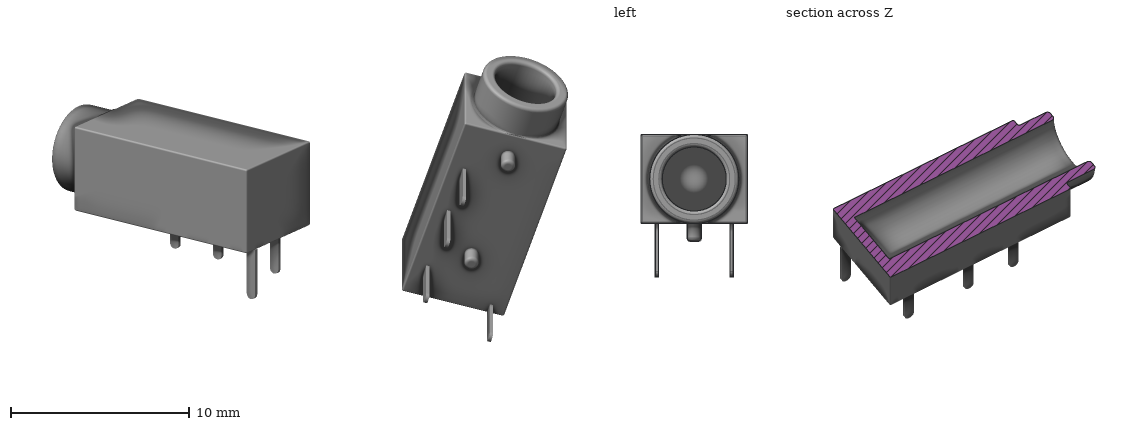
import cadquery as cq

total_length = 14.1
case_width = 6.0
case_height = 5.0
barrel_length = 2.0
barrel_diameter = case_height
bore_diameter = 3.6
wall = (barrel_diameter - bore_diameter) / 2
bore_depth = total_length - wall
edge_radius = 0.1
rim_radius = 0.2

peg_diameter = 0.8
peg_length = 1.0
peg_tip_radius = 0.2
peg_positions = (3.5, 10.5)

pin_width = 0.59
pin_thickness = 0.2
pin_length = 2.99
row_offset = 2.1
pin_places = (
    (5.3, row_offset),
    (8.3, row_offset),
    (12.3, row_offset),
    (total_length - pin_width / 2, -row_offset),
)

case_bottom = -case_height / 2


def make_case():
    """Case with all its edges rounded."""
    case_length = total_length - barrel_length
    case = cq.Workplane("XY").box(case_length, case_width, case_height)
    case = case.edges().fillet(edge_radius)
    return case.translate((barrel_length + case_length / 2, 0, 0))


def make_barrel():
    """Barrel along X with a rounded rim and a concave flare where it meets the case."""
    barrel_radius = barrel_diameter / 2
    flare_radius = barrel_radius + edge_radius
    flare_start = barrel_length - edge_radius
    diagonal = edge_radius * 0.5 ** 0.5
    rim_diagonal = rim_radius * (1 - 0.5 ** 0.5)
    profile = (
        cq.Workplane("XY")
        .lineTo(0, barrel_radius - rim_radius)
        .threePointArc((rim_diagonal, barrel_radius - rim_diagonal), (rim_radius, barrel_radius))
        .lineTo(flare_start, barrel_radius)
        .threePointArc(
            (flare_start + diagonal, flare_radius - diagonal),
            (barrel_length, flare_radius),
        )
        .lineTo(barrel_length, 0)
        .close()
    )
    barrel = profile.revolve(360, (0, 0, 0), (1, 0, 0))
    envelope = cq.Workplane("XY").box(2 * total_length, case_width, case_height)
    return barrel.intersect(envelope)


def make_bore():
    """Blind bore whose mouth widens in a convex rounding."""
    bore_radius = bore_diameter / 2
    diagonal = rim_radius * (1 - 0.5 ** 0.5)
    profile = (
        cq.Workplane("XY")
        .lineTo(0, bore_radius + rim_radius)
        .threePointArc((diagonal, bore_radius + diagonal), (rim_radius, bore_radius))
        .lineTo(bore_depth, bore_radius)
        .lineTo(bore_depth, 0)
        .close()
    )
    return profile.revolve(360, (0, 0, 0), (1, 0, 0))


def make_peg(x):
    """Peg hanging below the case, with a rounded tip."""
    peg = cq.Workplane("XY").circle(peg_diameter / 2).extrude(-peg_length)
    peg = peg.faces("<Z").edges().fillet(peg_tip_radius)
    return peg.translate((x, 0, case_bottom))


def make_housing():
    housing = make_case().union(make_barrel()).cut(make_bore())
    for x in peg_positions:
        housing = housing.union(make_peg(x))
    return housing


def make_pin(x, y):
    """Flat pin below the case, with a fully rounded tip."""
    half_width = pin_width / 2
    tip_start = half_width - pin_length
    return (
        cq.Workplane("XZ")
        .moveTo(-half_width, 0)
        .lineTo(-half_width, tip_start)
        .threePointArc((0, -pin_length), (half_width, tip_start))
        .lineTo(half_width, 0)
        .close()
        .extrude(pin_thickness / 2, both=True)
        .translate((x, y, case_bottom))
    )


housing = make_housing()
pins = [make_pin(x, y) for x, y in pin_places]

result = cq.Compound.makeCompound([housing.solids().val(), *[pin.val() for pin in pins]])